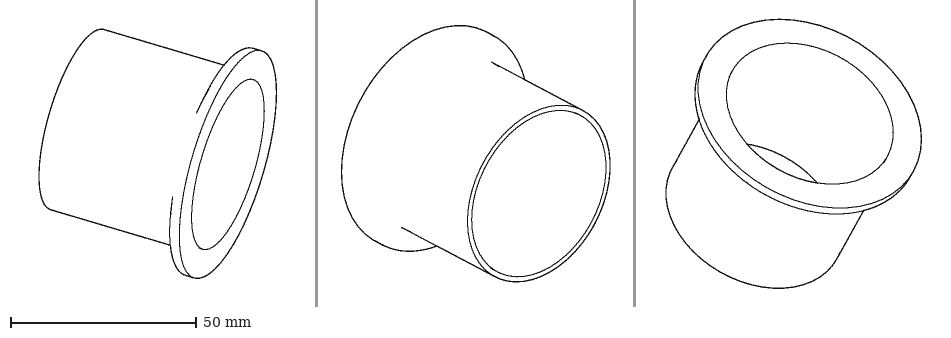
import cadquery as cq
import math


total_length = 44.5
bore_diameter = 47.8
tube_diameter = 50.8
flange_diameter = 64.0
rim_width = 2.9
taper_angle = 20.0
neck_fillet = 2.0
rim_fillet = 0.7

bore_radius = bore_diameter / 2
tube_radius = tube_diameter / 2
flange_radius = flange_diameter / 2
start_x = -total_length / 2
end_x = total_length / 2
rim_x = end_x - rim_width
taper_length = (flange_radius - tube_radius) * math.tan(math.radians(taper_angle))
neck_x = rim_x - taper_length


def make_sharp_ferrule():
    """Revolve the wall section about the X axis, before rounding."""
    return (
        cq.Workplane("XY")
        .moveTo(start_x, bore_radius)
        .lineTo(start_x, tube_radius)
        .lineTo(neck_x, tube_radius)
        .lineTo(rim_x, flange_radius)
        .lineTo(end_x, flange_radius)
        .lineTo(end_x, bore_radius)
        .close()
        .revolve(360, (0, 0, 0), (1, 0, 0))
    )


def round_circle(body, x, radius, fillet_radius):
    """Fillet the circular edge of the given radius that lies at x."""
    half_box = 0.1
    reach = radius + half_box
    slab = cq.selectors.BoxSelector(
        (x - half_box, -reach, -reach),
        (x + half_box, reach, reach),
        boundingbox=True,
    )
    return body.edges(slab).fillet(fillet_radius)


result = make_sharp_ferrule()
result = round_circle(result, neck_x, tube_radius, neck_fillet)
result = round_circle(result, rim_x, flange_radius, rim_fillet)